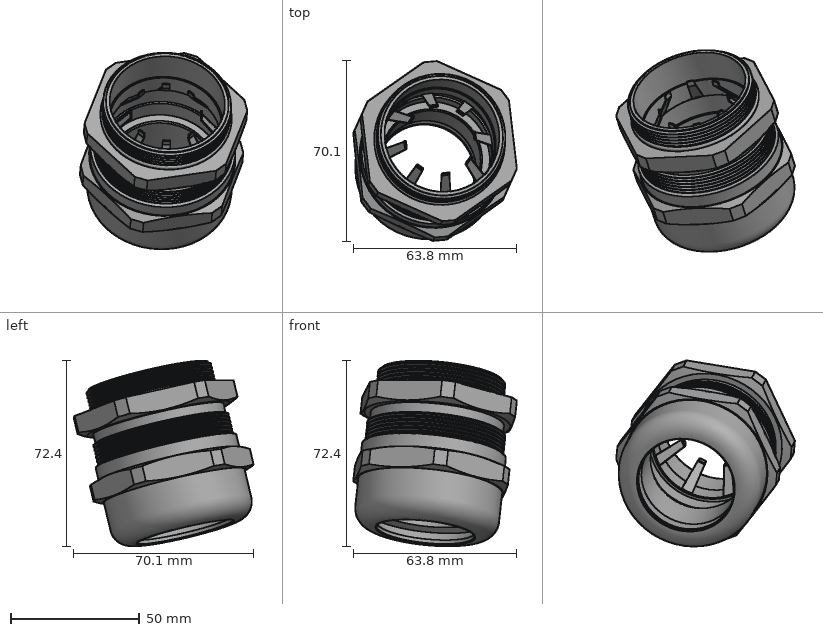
import cadquery as cq
import math

LEAN_ANGLE = 14.6
LEAN_HEADING = 24.2

CAP_LIP_TOP = 1.9
SEAL_BOTTOM = 5.35
BODY_BOTTOM = 14.5
CAP_HEX_BOTTOM = 18.7
SEAL_TOP = 24.3
CAP_HEX_TOP = 27.3
INSERT_TOP = 31.7
CAP_TOP = 32.6
SPRING_BOTTOM = 41.55
NECK_BOTTOM = 42.15
BODY_HEX_BOTTOM = 45.55
SPRING_TOP = 49.6
BODY_HEX_TOP = 53.7
BODY_TOP = 62.9

HEX_FLATS = 57.9
HEX_TURN = 30.0
HEX_CORNERS = 63.85
HEX_FACE_DIAMETER = 57.2
BODY_HEX_CHAMFER_ANGLE = 25.0
CAP_HEX_CHAMFER_ANGLE = 20.0

PITCH = 1.5
CREST_FLAT = 0.35
ROOT_FLAT = 0.2
ENTRY_CREST = 49.95
ENTRY_ROOT = 47.85
ENTRY_CREST_COUNT = 5
ENTRY_LAST_CREST = 61.75
CAP_THREAD_CREST = 54.2
CAP_THREAD_ROOT = 52.1
CAP_THREAD_CREST_COUNT = 6
CAP_THREAD_LAST_CREST = 41.1
NECK_TOP_DIAMETER = 52.35

ENTRY_BORE = 44.95
INNER_BORE = 47.2

CAP_DIAMETER = 56.5
CAP_FACE_DIAMETER = 41.55
CAP_ROUND = (CAP_DIAMETER - CAP_FACE_DIAMETER) / 2
CAP_HOLE = 38.4
CAP_HOLE_CHAMFER = 0.35
CAP_CONE_TOP_DIAMETER = 44.2

SEAL_BORE = 38.4
SEAL_EDGE_CHAMFER = 0.6
SEAL_CONE_HEIGHT = 1.6
INSERT_BORE = 45.4
O_RING_SECTION = 1.75
O_RING_RISE = 0.3

SPRING_BORE = 43.8
SPRING_THICKNESS = 0.5
FINGER_COUNT = 8
FIRST_FINGER_ANGLE = -12.0
FINGER_ROOT_RADIUS = 22.2
FINGER_BEND_RADIUS = 13.5
FINGER_BEND_HEIGHT = 54.2
FINGER_TIP_HEIGHT = 56.6
FINGER_ROOT_WIDTH = 4.5
FINGER_TIP_WIDTH = 2.8
FINGER_TIP_ROUND = 0.5


def revolved(profile):
    """Turn a closed (radius, height) outline about the gland axis."""
    return cq.Workplane("XZ").polyline(profile).close().revolve(360, (0, 0, 0), (0, 1, 0))


def disc(diameter, bottom, top):
    return cq.Workplane("XY").workplane(offset=bottom).circle(diameter / 2).extrude(top - bottom)


def thread(crest_diameter, root_diameter, last_crest, crest_count):
    """Solid rod with crest_count ridges, one pitch apart, the topmost at last_crest."""
    crest = crest_diameter / 2
    root = root_diameter / 2
    first_root = last_crest - (crest_count - 0.5) * PITCH
    profile = [(0, first_root), (root, first_root)]
    for turn in range(crest_count):
        valley = first_root + turn * PITCH
        profile += [
            (root, valley + ROOT_FLAT / 2),
            (crest, valley + (PITCH - CREST_FLAT) / 2),
            (crest, valley + (PITCH + CREST_FLAT) / 2),
            (root, valley + PITCH - ROOT_FLAT / 2),
        ]
    last_root = first_root + crest_count * PITCH
    profile += [(root, last_root), (0, last_root)]
    return revolved(profile)


def hexagonal_prism(across_flats, bottom, top):
    """Prism with two of its corners on the Y axis."""
    return (
        cq.Workplane("XY")
        .workplane(offset=bottom)
        .polygon(6, across_flats, circumscribed=True)
        .extrude(top - bottom)
    )


def hexagon(bottom, top, chamfer_angle, chamfer_top):
    """Hexagon with flats facing +Y and -Y, flattened corners and chamfered end faces."""
    flats = hexagonal_prism(HEX_FLATS, bottom, top).rotate((0, 0, 0), (0, 0, 1), HEX_TURN)
    corners = hexagonal_prism(HEX_CORNERS, bottom, top)
    outermost = HEX_FLATS / math.sqrt(3)
    face = HEX_FACE_DIAMETER / 2
    drop = (outermost - face) * math.tan(math.radians(chamfer_angle))
    profile = [(0, bottom), (face, bottom), (outermost, bottom + drop)]
    if chamfer_top:
        profile += [(outermost, top - drop), (face, top)]
    else:
        profile += [(outermost, top)]
    profile.append((0, top))
    return flats.intersect(corners).intersect(revolved(profile))


def o_ring():
    """Ring around the foot of the entry thread, partly sunk into the hexagon."""
    section = O_RING_SECTION / 2
    centre = ENTRY_ROOT / 2 + section
    height = BODY_HEX_TOP + O_RING_RISE
    return cq.Workplane("XZ").center(centre, height).circle(section).revolve(360, (-centre, 0), (-centre, 1))


def gland_body():
    neck = revolved(
        [
            (0, NECK_BOTTOM),
            (CAP_THREAD_ROOT / 2, NECK_BOTTOM),
            (NECK_TOP_DIAMETER / 2, BODY_HEX_BOTTOM),
            (0, BODY_HEX_BOTTOM),
        ]
    )
    body = (
        disc(CAP_THREAD_ROOT, BODY_BOTTOM, NECK_BOTTOM)
        .union(thread(CAP_THREAD_CREST, CAP_THREAD_ROOT, CAP_THREAD_LAST_CREST, CAP_THREAD_CREST_COUNT))
        .union(neck)
        .union(hexagon(BODY_HEX_BOTTOM, BODY_HEX_TOP, BODY_HEX_CHAMFER_ANGLE, chamfer_top=False))
        .union(disc(ENTRY_ROOT, BODY_HEX_TOP, BODY_TOP))
        .union(thread(ENTRY_CREST, ENTRY_ROOT, ENTRY_LAST_CREST, ENTRY_CREST_COUNT))
    )
    bores = disc(ENTRY_BORE, SPRING_BOTTOM, BODY_TOP).union(disc(INNER_BORE, BODY_BOTTOM, SPRING_BOTTOM))
    return body.cut(bores).cut(o_ring())


def cap_nut():
    shell = disc(CAP_DIAMETER, 0, CAP_TOP).faces("<Z").edges().fillet(CAP_ROUND)
    cap = shell.union(hexagon(CAP_HEX_BOTTOM, CAP_HEX_TOP, CAP_HEX_CHAMFER_ANGLE, chamfer_top=True))
    hole = CAP_HOLE / 2
    cavity = revolved(
        [
            (0, 0),
            (hole + CAP_HOLE_CHAMFER, 0),
            (hole, CAP_HOLE_CHAMFER),
            (hole, CAP_LIP_TOP),
            (CAP_CONE_TOP_DIAMETER / 2, SEAL_BOTTOM),
            (INNER_BORE / 2, SEAL_BOTTOM),
            (INNER_BORE / 2, BODY_BOTTOM),
            (CAP_THREAD_ROOT / 2, BODY_BOTTOM),
            (CAP_THREAD_ROOT / 2, CAP_TOP),
            (0, CAP_TOP),
        ]
    )
    return cap.cut(cavity)


def sealing_ring():
    bore = SEAL_BORE / 2
    outside = INNER_BORE / 2
    return revolved(
        [
            (CAP_CONE_TOP_DIAMETER / 2, SEAL_BOTTOM),
            (outside, SEAL_BOTTOM),
            (outside, SEAL_TOP),
            (bore + SEAL_EDGE_CHAMFER, SEAL_TOP),
            (bore, SEAL_TOP - SEAL_EDGE_CHAMFER),
            (bore, SEAL_BOTTOM + SEAL_CONE_HEIGHT),
        ]
    )


def insert_sleeve():
    return disc(INNER_BORE, SEAL_TOP, INSERT_TOP).cut(disc(INSERT_BORE, SEAL_TOP, INSERT_TOP))


def spring_finger():
    """One finger along +X: a strip leaning inwards with an upright tip, narrowing upwards."""
    bottom = SPRING_BOTTOM
    side = (
        cq.Workplane("XZ")
        .polyline(
            [
                (FINGER_ROOT_RADIUS, bottom),
                (FINGER_BEND_RADIUS + SPRING_THICKNESS, FINGER_BEND_HEIGHT),
                (FINGER_BEND_RADIUS + SPRING_THICKNESS, FINGER_TIP_HEIGHT),
                (FINGER_BEND_RADIUS, FINGER_TIP_HEIGHT),
                (FINGER_BEND_RADIUS, FINGER_BEND_HEIGHT),
                (FINGER_ROOT_RADIUS - SPRING_THICKNESS, bottom),
            ]
        )
        .close()
        .extrude(FINGER_ROOT_WIDTH / 2, both=True)
    )
    taper = (
        cq.Workplane("YZ")
        .polyline(
            [
                (-FINGER_ROOT_WIDTH / 2, bottom),
                (FINGER_ROOT_WIDTH / 2, bottom),
                (FINGER_TIP_WIDTH / 2, FINGER_TIP_HEIGHT),
                (-FINGER_TIP_WIDTH / 2, FINGER_TIP_HEIGHT),
            ]
        )
        .close()
        .extrude(FINGER_ROOT_RADIUS)
    )
    return side.intersect(taper.faces(">Z").edges("|X").fillet(FINGER_TIP_ROUND))


def contact_spring():
    """Thin sleeve with a ring of fingers rising inwards from its lower edge."""
    sleeve = disc(ENTRY_BORE, SPRING_BOTTOM, SPRING_TOP)
    spring = sleeve.cut(disc(SPRING_BORE, SPRING_BOTTOM, SPRING_TOP))
    finger = spring_finger()
    for index in range(FINGER_COUNT):
        angle = FIRST_FINGER_ANGLE + index * 360 / FINGER_COUNT
        spring = spring.union(finger.rotate((0, 0, 0), (0, 0, 1), angle))
    return spring


def leaned(part):
    """Tip the upright part towards +Y and swing it round to its heading."""
    return part.rotate((0, 0, 0), (1, 0, 0), -LEAN_ANGLE).rotate((0, 0, 0), (0, 0, 1), -LEAN_HEADING).val()


result = cq.Compound.makeCompound(
    [
        leaned(gland_body()),
        leaned(cap_nut()),
        leaned(o_ring()),
        leaned(sealing_ring()),
        leaned(insert_sleeve()),
        leaned(contact_spring()),
    ]
)